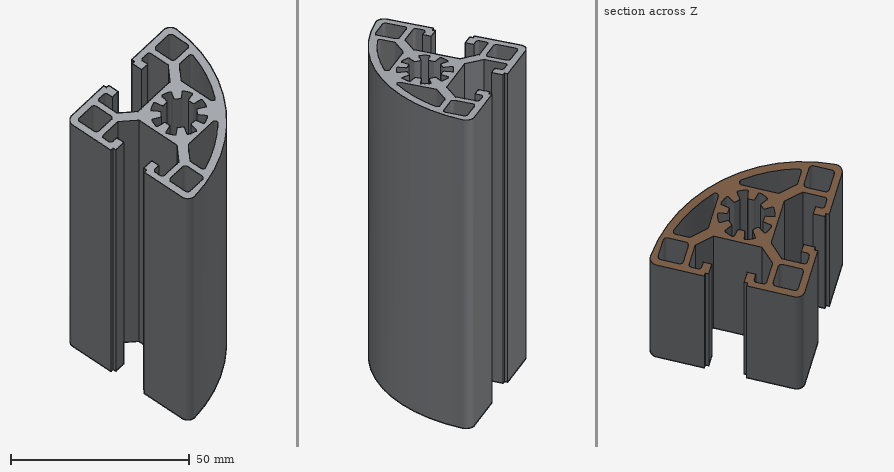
import cadquery as cq
import math


SIDE = 45.0
LENGTH = 100.0
CORNER_RADIUS = 2.5
CENTRE = SIDE / 2
OUTER_RADIUS = CORNER_RADIUS + math.hypot(SIDE - CORNER_RADIUS, CORNER_RADIUS)

MOUTH_HALF = 5.1
STEP_HALF = 6.1
STEP_DEPTH = 1.0
LIP_HALF = 7.7
LIP_DEPTH = 4.5
HOOK_DEPTH = 2.0
HOOK_RADIUS = 0.8
CAVITY_HALF = 11.2
SHOULDER_DEPTH = 9.1
FLOOR_HALF = 7.0
FLOOR_DEPTH = SHOULDER_DEPTH + CAVITY_HALF - FLOOR_HALF

TUBE_SIZE = 7.2
TUBE_WALL = 2.2
TUBE_RADIUS = 1.0

CURVED_WALL = 2.5
POCKET_RADIUS = 0.8

TOOTH_COUNT = 8
TOOTH_TIP_RADIUS = 5.1
TOOTH_ROOT_RADIUS = 8.0
TOOTH_TIP_WIDTH = 2.0
TOOTH_ROOT_WIDTH = 3.2
SPLINE_FILLET = 0.3


def mirrored(body):
    """Swap X and Y to get the matching feature on the other side."""
    return body.mirror((1, -1, 0))


def block(x_min, x_max, y_min, y_max):
    """Full-length rectangular bar."""
    size_x = x_max - x_min
    size_y = y_max - y_min
    bar = cq.Workplane("XY").box(size_x, size_y, LENGTH, centered=False)
    return bar.translate((x_min, y_min, 0))


def quarter_body():
    """Solid quarter round with all three corners rounded."""
    diagonal = OUTER_RADIUS * math.sqrt(0.5)
    return (
        cq.Workplane("XY")
        .lineTo(OUTER_RADIUS, 0)
        .threePointArc((diagonal, diagonal), (0, OUTER_RADIUS))
        .close()
        .extrude(LENGTH)
        .edges("|Z")
        .fillet(CORNER_RADIUS)
    )


def slot():
    """T-slot open on the -Y face."""
    left = CENTRE - CAVITY_HALF
    right = CENTRE + CAVITY_HALF
    cavity = (
        cq.Workplane("XY")
        .polyline([
            (left, LIP_DEPTH),
            (right, LIP_DEPTH),
            (right, SHOULDER_DEPTH),
            (CENTRE + FLOOR_HALF, FLOOR_DEPTH),
            (CENTRE - FLOOR_HALF, FLOOR_DEPTH),
            (left, SHOULDER_DEPTH),
        ])
        .close()
        .extrude(LENGTH)
    )
    mouth = block(CENTRE - MOUTH_HALF, CENTRE + MOUTH_HALF, 0, SHOULDER_DEPTH)
    step = block(CENTRE - STEP_HALF, CENTRE + STEP_HALF, 0, STEP_DEPTH)
    cutter = cavity.union(mouth).union(step)
    for x_min, x_max in ((left, CENTRE - LIP_HALF), (CENTRE + LIP_HALF, right)):
        hook = block(x_min, x_max, HOOK_DEPTH, SHOULDER_DEPTH)
        cutter = cutter.union(hook.edges("|Z and (not >Y)").fillet(HOOK_RADIUS))
    return cutter


def tube(x_min, y_min):
    """Square through hole with rounded corners."""
    opening = block(x_min, x_min + TUBE_SIZE, y_min, y_min + TUBE_SIZE)
    return opening.edges("|Z").fillet(TUBE_RADIUS)


def pocket():
    """Pocket above the core, bounded by the curved wall."""
    left = CENTRE - CAVITY_HALF
    floor = SIDE - FLOOR_DEPTH
    radius = OUTER_RADIUS - CURVED_WALL
    top = math.sqrt(radius**2 - left**2)
    right = math.sqrt(radius**2 - floor**2)
    middle_angle = (math.atan2(top, left) + math.atan2(floor, right)) / 2
    middle = (radius * math.cos(middle_angle), radius * math.sin(middle_angle))
    return (
        cq.Workplane("XY")
        .moveTo(left, SIDE - SHOULDER_DEPTH)
        .lineTo(CENTRE - FLOOR_HALF, floor)
        .lineTo(right, floor)
        .threePointArc(middle, (left, top))
        .close()
        .extrude(LENGTH)
        .edges("|Z")
        .fillet(POCKET_RADIUS)
    )


def splined_bore():
    """Central bore with teeth left standing inward."""
    bore = cq.Workplane("XY").circle(TOOTH_ROOT_RADIUS).extrude(LENGTH)
    tooth = (
        cq.Workplane("XY")
        .polyline([
            (TOOTH_TIP_RADIUS, -TOOTH_TIP_WIDTH / 2),
            (TOOTH_ROOT_RADIUS, -TOOTH_ROOT_WIDTH / 2),
            (TOOTH_ROOT_RADIUS, TOOTH_ROOT_WIDTH / 2),
            (TOOTH_TIP_RADIUS, TOOTH_TIP_WIDTH / 2),
        ])
        .close()
        .extrude(LENGTH)
    )
    for index in range(TOOTH_COUNT):
        bore = bore.cut(tooth.rotate((0, 0, 0), (0, 0, 1), index * 360 / TOOTH_COUNT))
    return bore.edges("|Z").fillet(SPLINE_FILLET).translate((CENTRE, CENTRE, 0))


far_tube = SIDE - TUBE_WALL - TUBE_SIZE

result = quarter_body()
for cutter in (slot(), tube(far_tube, TUBE_WALL), pocket()):
    result = result.cut(cutter).cut(mirrored(cutter))
result = result.cut(tube(TUBE_WALL, TUBE_WALL)).cut(splined_bore())